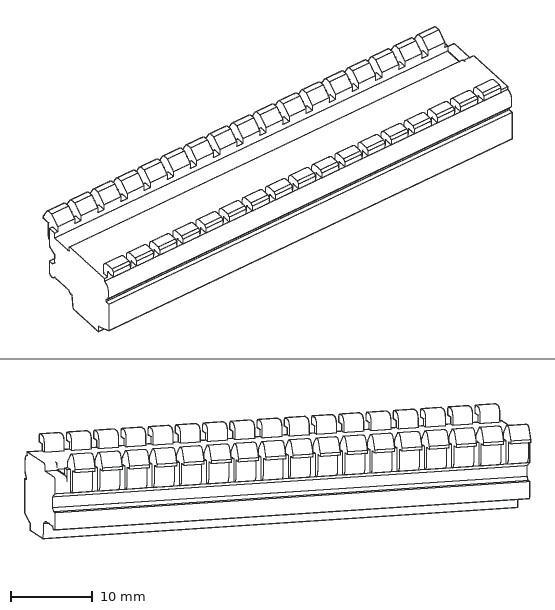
import cadquery as cq
import math

LENGTH = 61.0
WIDTH = 14.7
HEIGHT = 11.5

CLIP_COUNT = 17
CLIP_WIDTH = 2.55
FRONT_MARGIN = 0.5
BACK_MARGIN = 1.95
CLIP_PITCH = (LENGTH - FRONT_MARGIN - BACK_MARGIN - CLIP_WIDTH) / (CLIP_COUNT - 1)

BODY_TOP = 9.6
TRENCH_FLOOR = 8.8
OVERHANG_BOTTOM = 6.65
GROOVE_TOP = 6.05
GROOVE_FLOOR = 4.3
UNDERSIDE = 2.4
RIM_BOTTOM = 2.0

BODY_LEFT = 1.95
RIDGE_RIGHT = 3.05
TRENCH_RIGHT = 6.05
BODY_RIGHT = 14.4
TRENCH_EDGE_RADIUS = 0.3
RIM_CORNER_RADIUS = 0.5
GROOVE_CHAMFER = 0.4

RECESS_DEPTH = UNDERSIDE - RIM_BOTTOM
RECESS_LEFT = 2.7
RECESS_RIGHT = 6.35

KEEL_LEFT = 6.9
KEEL_SHOULDER = 6.65
KEEL_RIGHT = 12.2
KEEL_SIDE_TOP = 0.85
BODY_RIGHT_BOTTOM = 1.7

RAIL_RIGHT = 14.3
RAIL_RADIUS = 1.0
RAIL_FLAT_BOTTOM = 7.2
RAIL_FLAT_TOP = 8.2
NOTCH_LEFT = 13.8
NOTCH_FLOOR = 6.05

STEP_LENGTH = 1.5
STEP_FLOOR = 8.65
STEP_RADIUS = 0.55

BARB_EDGE_TOP = 9.95
BARB_SLOPE_END = (0.7, 11.15)
BARB_FLAT_LEFT = 1.3
BARB_FLAT_RIGHT = 1.75
BARB_RIGHT_TOP = 10.4
STEM_LEFT = 1.05
STEM_RADIUS = BODY_LEFT - STEM_LEFT

HOOK_LEFT = 12.55
HOOK_STEM_RIGHT = 13.5
HOOK_RADIUS = 0.85
HOOK_UNDERSIDE = 10.45
HOOK_TIP_CHAMFER = 0.3

DIAGONAL = math.sqrt(0.5)


def arc_middle(center_x, center_z, radius, side_x, side_z):
    """Point of a circle on the diagonal whose direction is given by two signs."""
    return (center_x + side_x * radius * DIAGONAL, center_z + side_z * radius * DIAGONAL)


def extrude_along_y(outline, start, length):
    """Extrude a closed XZ outline toward +Y, beginning at Y = start."""
    return outline.extrude(-length).translate((0, start, 0))


def rail_rise(x):
    """Height of the rail's rounding at x, above the end of its flat side."""
    return math.sqrt(RAIL_RADIUS**2 - (x - RAIL_RIGHT + RAIL_RADIUS) ** 2)


def make_body():
    rail_x = RAIL_RIGHT - RAIL_RADIUS
    trench_edge_x = TRENCH_RIGHT + TRENCH_EDGE_RADIUS
    trench_edge_z = BODY_TOP - TRENCH_EDGE_RADIUS
    rim_x = BODY_LEFT + RIM_CORNER_RADIUS
    rim_z = RIM_BOTTOM + RIM_CORNER_RADIUS
    outline = (
        cq.Workplane("XZ")
        .moveTo(KEEL_LEFT, 0)
        .lineTo(KEEL_RIGHT, 0)
        .lineTo(KEEL_RIGHT, KEEL_SIDE_TOP)
        .lineTo(BODY_RIGHT, BODY_RIGHT_BOTTOM)
        .lineTo(BODY_RIGHT, NOTCH_FLOOR)
        .lineTo(NOTCH_LEFT, NOTCH_FLOOR)
        .lineTo(NOTCH_LEFT, RAIL_FLAT_BOTTOM - rail_rise(NOTCH_LEFT))
        .threePointArc(
            arc_middle(rail_x, RAIL_FLAT_BOTTOM, RAIL_RADIUS, 1, -1),
            (RAIL_RIGHT, RAIL_FLAT_BOTTOM),
        )
        .lineTo(RAIL_RIGHT, RAIL_FLAT_TOP)
        .threePointArc(
            arc_middle(rail_x, RAIL_FLAT_TOP, RAIL_RADIUS, 1, 1),
            (HOOK_STEM_RIGHT, RAIL_FLAT_TOP + rail_rise(HOOK_STEM_RIGHT)),
        )
        .lineTo(HOOK_STEM_RIGHT, BODY_TOP)
        .lineTo(trench_edge_x, BODY_TOP)
        .threePointArc(
            arc_middle(trench_edge_x, trench_edge_z, TRENCH_EDGE_RADIUS, -1, 1),
            (TRENCH_RIGHT, trench_edge_z),
        )
        .lineTo(TRENCH_RIGHT, TRENCH_FLOOR)
        .lineTo(RIDGE_RIGHT, TRENCH_FLOOR)
        .lineTo(RIDGE_RIGHT, BODY_TOP)
        .lineTo(BODY_LEFT, BODY_TOP)
        .lineTo(BODY_LEFT, OVERHANG_BOTTOM)
        .lineTo(RIDGE_RIGHT, GROOVE_TOP)
        .lineTo(RIDGE_RIGHT, GROOVE_FLOOR + GROOVE_CHAMFER)
        .lineTo(RIDGE_RIGHT - GROOVE_CHAMFER, GROOVE_FLOOR)
        .lineTo(BODY_LEFT, GROOVE_FLOOR)
        .lineTo(BODY_LEFT, rim_z)
        .threePointArc(
            arc_middle(rim_x, rim_z, RIM_CORNER_RADIUS, -1, -1),
            (rim_x, RIM_BOTTOM),
        )
        .lineTo(RECESS_LEFT, RIM_BOTTOM)
        .lineTo(RECESS_LEFT + RECESS_DEPTH, UNDERSIDE)
        .lineTo(RECESS_RIGHT - RECESS_DEPTH, UNDERSIDE)
        .lineTo(RECESS_RIGHT, RIM_BOTTOM)
        .lineTo(KEEL_SHOULDER, RIM_BOTTOM)
        .close()
    )
    return extrude_along_y(outline, 0, LENGTH)


def make_end_step_cut():
    """Space removed from the ridge and trench at the back end."""
    left_z = STEP_FLOOR - STEP_RADIUS
    left_x = BODY_LEFT + STEP_RADIUS
    right_x = TRENCH_RIGHT + STEP_RADIUS
    right_z = BODY_TOP - STEP_RADIUS
    outline = (
        cq.Workplane("XZ")
        .moveTo(BODY_LEFT, left_z)
        .threePointArc(
            arc_middle(left_x, left_z, STEP_RADIUS, -1, 1),
            (left_x, STEP_FLOOR),
        )
        .lineTo(TRENCH_RIGHT, STEP_FLOOR)
        .lineTo(TRENCH_RIGHT, right_z)
        .threePointArc(
            arc_middle(right_x, right_z, STEP_RADIUS, -1, 1),
            (right_x, BODY_TOP),
        )
        .lineTo(BODY_LEFT, BODY_TOP)
        .close()
    )
    return extrude_along_y(outline, LENGTH - STEP_LENGTH, STEP_LENGTH)


def make_barb(start):
    stem_z = OVERHANG_BOTTOM + STEM_RADIUS
    outline = (
        cq.Workplane("XZ")
        .moveTo(0, BODY_TOP)
        .lineTo(0, BARB_EDGE_TOP)
        .lineTo(*BARB_SLOPE_END)
        .tangentArcPoint((BARB_FLAT_LEFT, HEIGHT), relative=False)
        .lineTo(BARB_FLAT_RIGHT, HEIGHT)
        .lineTo(RIDGE_RIGHT, BARB_RIGHT_TOP)
        .lineTo(RIDGE_RIGHT, OVERHANG_BOTTOM)
        .lineTo(BODY_LEFT, OVERHANG_BOTTOM)
        .threePointArc(
            arc_middle(BODY_LEFT, stem_z, STEM_RADIUS, -1, -1),
            (STEM_LEFT, stem_z),
        )
        .lineTo(STEM_LEFT, BODY_TOP)
        .close()
    )
    return extrude_along_y(outline, start, CLIP_WIDTH)


def make_hook(start):
    bend_x = HOOK_LEFT + HOOK_RADIUS
    bend_z = HEIGHT - HOOK_RADIUS
    outline = (
        cq.Workplane("XZ")
        .moveTo(HOOK_LEFT, BODY_TOP)
        .lineTo(HOOK_LEFT, bend_z)
        .threePointArc(
            arc_middle(bend_x, bend_z, HOOK_RADIUS, -1, 1),
            (bend_x, HEIGHT),
        )
        .lineTo(WIDTH - HOOK_TIP_CHAMFER, HEIGHT)
        .lineTo(WIDTH, HEIGHT - HOOK_TIP_CHAMFER)
        .lineTo(WIDTH, HOOK_UNDERSIDE)
        .lineTo(HOOK_STEM_RIGHT, HOOK_UNDERSIDE)
        .lineTo(HOOK_STEM_RIGHT, BODY_TOP)
        .close()
    )
    return extrude_along_y(outline, start, CLIP_WIDTH)


result = make_body().cut(make_end_step_cut())
for index in range(CLIP_COUNT):
    clip_start = FRONT_MARGIN + index * CLIP_PITCH
    result = result.union(make_barb(clip_start)).union(make_hook(clip_start))